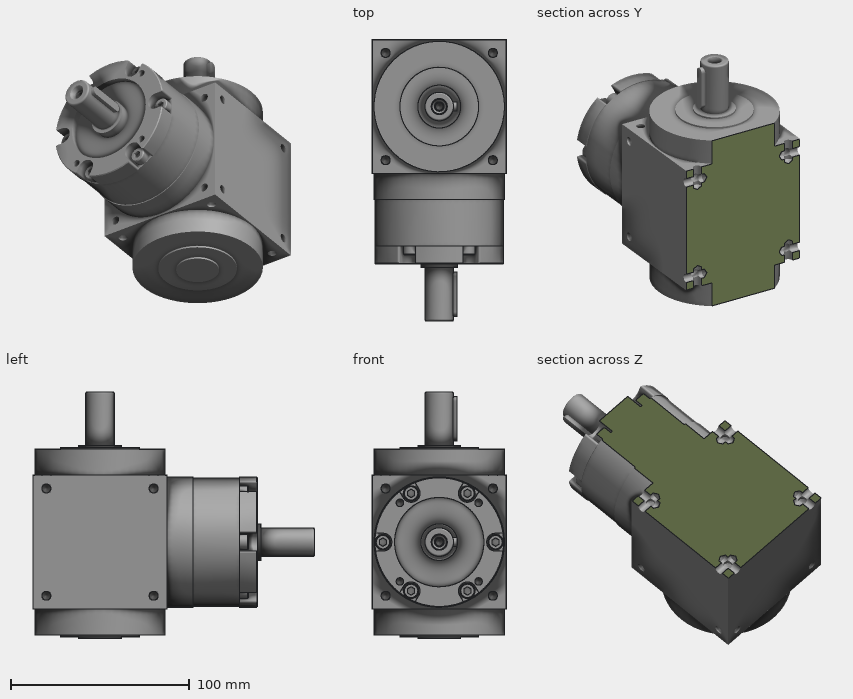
import cadquery as cq
import math

HOUSING_SIDE = 75.0
HOUSING_HALF = HOUSING_SIDE / 2
HOUSING_HOLE_OFFSET = 30.0
HOUSING_HOLE_DIA = 5.0
HOUSING_HOLE_DEPTH = 12.0

HUB_DIA = 73.0
HUB_LENGTH = 14.5
HUB_END = HOUSING_HALF + HUB_LENGTH
SEAL_DIA = 44.0
SEAL_HEIGHT = 1.0
SEAL_END = HUB_END + SEAL_HEIGHT
HUB_COLLAR_DIA = 24.0
HUB_COLLAR_HEIGHT = 1.0
HUB_COLLAR_END = SEAL_END + HUB_COLLAR_HEIGHT

SHAFT_DIA = 16.0
SHAFT_LENGTH = 30.0
SHAFT_END_RADIUS = 1.0
KEY_WIDTH = 5.0
KEY_LENGTH = 25.0
KEY_TOP = 10.0
KEY_END_GAP = (SHAFT_LENGTH - KEY_LENGTH) / 2
CENTRE_MOUTH_DIA = 9.0
CENTRE_CONE_DIA = 8.1
CENTRE_RELIEF_DIA = 5.3
CENTRE_RELIEF_DEPTH = 4.0
CENTRE_CORE_DIA = 4.2
CENTRE_CORE_DEPTH = 17.0
CENTRE_MOUTH_ANGLE = 120.0
CENTRE_CONE_ANGLE = 60.0

STAGE_RING_END = HUB_END
STAGE_BODY_DIA = 72.0
STAGE_BODY_LENGTH = 26.0
STAGE_BODY_END = STAGE_RING_END + STAGE_BODY_LENGTH
FLANGE_DIA = HUB_DIA
FLANGE_THICKNESS = 10.0
FLANGE_END = STAGE_BODY_END + FLANGE_THICKNESS
FLANGE_CHAMFER = 0.5
RECESS_DIA = 50.0
RECESS_DEPTH = 4.0
STAGE_COLLAR_DIA = 20.5
STAGE_COLLAR_HEIGHT = 2.0
STAGE_COLLAR_END = FLANGE_END + STAGE_COLLAR_HEIGHT
FLANGE_HOLE_OFFSET = 22.0
FLANGE_HOLE_DIA = 4.2
FLANGE_HOLE_DEPTH = 10.0

SCREW_COUNT = 6
SCREW_CIRCLE_RADIUS = 31.5
SCREW_HEAD_DIA = 8.5
SCREW_HEAD_HEIGHT = 5.0
SCREW_HEAD_CHAMFER = 0.5
SOCKET_FLATS = 4.0
SOCKET_DEPTH = 2.5
SLOT_WIDTH = 10.0
SLOT_CORNER_RADIUS = 1.0

DRILL_POINT_ANGLE = 118.0


def disc(diameter, start, end):
    """Cylinder on the Z axis between two heights."""
    return cq.Workplane("XY").workplane(offset=start).circle(diameter / 2).extrude(end - start)


def cone_height(wide_diameter, narrow_diameter, angle):
    """Height over which a cone of the given full angle narrows between two diameters."""
    return (wide_diameter - narrow_diameter) / 2 / math.tan(math.radians(angle / 2))


def drilled_hole(x, y, mouth, diameter, depth):
    """Cutter for a blind hole going down from the mouth, with a conical bottom."""
    radius = diameter / 2
    point = cone_height(diameter, 0, DRILL_POINT_ANGLE)
    profile = [(0, 0), (radius, 0), (radius, -depth), (0, -depth - point)]
    cutter = cq.Workplane("XZ").polyline(profile).close().revolve(360, (0, 0), (0, 1))
    return cutter.translate((x, y, mouth))


def square_of_holes(offset, mouth, diameter, depth):
    """Cutter for four drilled holes at the corners of a square."""
    cutter = cq.Workplane("XY")
    for x in (-offset, offset):
        for y in (-offset, offset):
            cutter = cutter.add(drilled_hole(x, y, mouth, diameter, depth))
    return cutter.combine()


def face_front(shape):
    """Turn a shape that points along +Z so that it points along -Y."""
    return shape.rotate((0, 0, 0), (1, 0, 0), 90)


def centre_hole(mouth):
    """Cutter for the stepped and countersunk centre hole of a shaft end."""
    cone_start = cone_height(CENTRE_MOUTH_DIA, CENTRE_CONE_DIA, CENTRE_MOUTH_ANGLE)
    cone_end = cone_start + cone_height(CENTRE_CONE_DIA, CENTRE_RELIEF_DIA, CENTRE_CONE_ANGLE)
    profile = [
        (0, 0),
        (CENTRE_MOUTH_DIA / 2, 0),
        (CENTRE_CONE_DIA / 2, -cone_start),
        (CENTRE_RELIEF_DIA / 2, -cone_end),
        (CENTRE_RELIEF_DIA / 2, -CENTRE_RELIEF_DEPTH),
        (0, -CENTRE_RELIEF_DEPTH),
    ]
    entry = cq.Workplane("XZ").polyline(profile).close().revolve(360, (0, 0), (0, 1))
    core = drilled_hole(0, 0, mouth, CENTRE_CORE_DIA, CENTRE_CORE_DEPTH)
    return entry.translate((0, 0, mouth)).union(core)


def keyed_shaft(root, base):
    """Shaft sunk to the root height, standing SHAFT_LENGTH above the base."""
    end = base + SHAFT_LENGTH
    shaft = disc(SHAFT_DIA, root, end).faces(">Z").edges().fillet(SHAFT_END_RADIUS)
    key = (
        cq.Workplane("YZ")
        .center(0, base + KEY_END_GAP + KEY_LENGTH / 2)
        .slot2D(KEY_LENGTH, KEY_WIDTH, 90)
        .extrude(KEY_TOP)
    )
    return shaft.union(key).cut(centre_hole(end))


def hub():
    """Stepped round hub on one end of the housing."""
    return (
        disc(HUB_DIA, 0, HUB_END)
        .union(disc(SEAL_DIA, 0, SEAL_END))
        .union(disc(HUB_COLLAR_DIA, 0, HUB_COLLAR_END))
    )


def housing():
    """Cube with four drilled holes in every face."""
    block = cq.Workplane("XY").box(HOUSING_SIDE, HOUSING_SIDE, HOUSING_SIDE)
    holes = square_of_holes(HOUSING_HOLE_OFFSET, HOUSING_HALF, HOUSING_HOLE_DIA, HOUSING_HOLE_DEPTH)
    for quarter in range(4):
        block = block.cut(holes.rotate((0, 0, 0), (1, 0, 0), 90 * quarter))
    for tilt in (-90, 90):
        block = block.cut(holes.rotate((0, 0, 0), (0, 1, 0), tilt))
    return block


def screw_slot():
    """Cutter for one screw slot, open towards +X."""
    reach = FLANGE_DIA / 2
    straight = cq.Workplane("XY").box(reach, SLOT_WIDTH, FLANGE_THICKNESS, centered=(False, True, False))
    end = cq.Workplane("XY").circle(SLOT_WIDTH / 2).extrude(FLANGE_THICKNESS)
    return straight.union(end).translate((SCREW_CIRCLE_RADIUS, 0, STAGE_BODY_END))


def screw_head():
    """Head of one socket screw, seated on the stage body."""
    top = STAGE_BODY_END + SCREW_HEAD_HEIGHT
    head = disc(SCREW_HEAD_DIA, STAGE_BODY_END, top).faces(">Z").chamfer(SCREW_HEAD_CHAMFER)
    socket = (
        cq.Workplane("XY")
        .workplane(offset=top - SOCKET_DEPTH)
        .polygon(6, SOCKET_FLATS, circumscribed=True)
        .extrude(SOCKET_DEPTH)
    )
    return head.cut(socket).translate((SCREW_CIRCLE_RADIUS, 0, 0))


def around_flange(shape):
    """Copies of a shape at every screw position."""
    copies = cq.Workplane("XY")
    for index in range(SCREW_COUNT):
        copies = copies.add(shape.rotate((0, 0, 0), (0, 0, 1), index * 360 / SCREW_COUNT))
    return copies.combine()


def flange():
    """Slotted end flange with a shallow recess in its face."""
    rim_angle = math.asin(SLOT_WIDTH / FLANGE_DIA)
    rim_distance = FLANGE_DIA / 2 * math.cos(rim_angle)
    plate = disc(FLANGE_DIA, STAGE_BODY_END, FLANGE_END).cut(around_flange(screw_slot()))
    rim_edges = plate.edges("|Z").filter(
        lambda edge: math.hypot(edge.Center().x, edge.Center().y) > rim_distance
    )
    plate = rim_edges.fillet(SLOT_CORNER_RADIUS)
    bevel = disc(FLANGE_DIA, STAGE_BODY_END, FLANGE_END).faces(">Z").chamfer(FLANGE_CHAMFER)
    recess = disc(RECESS_DIA, FLANGE_END - RECESS_DEPTH, FLANGE_END)
    return plate.intersect(bevel).cut(recess)


def planetary_stage():
    """Complete stage with ring, body, flange, screws, collar and shaft."""
    stage = (
        disc(HUB_DIA, 0, STAGE_RING_END)
        .union(disc(STAGE_BODY_DIA, 0, STAGE_BODY_END))
        .union(flange())
        .union(around_flange(screw_head()))
        .union(disc(STAGE_COLLAR_DIA, STAGE_BODY_END, STAGE_COLLAR_END))
        .union(keyed_shaft(STAGE_BODY_END, STAGE_COLLAR_END))
    )
    holes = square_of_holes(FLANGE_HOLE_OFFSET, FLANGE_END, FLANGE_HOLE_DIA, FLANGE_HOLE_DEPTH)
    return stage.cut(holes)


def outside_housing(shape):
    """Part of a +Z pointing shape that lies beyond the housing face."""
    inside = cq.Workplane("XY").box(HOUSING_SIDE, HOUSING_SIDE, HOUSING_SIDE)
    return shape.cut(inside)


upper_hub = outside_housing(hub().union(keyed_shaft(0, HUB_COLLAR_END)))
lower_hub = outside_housing(hub()).rotate((0, 0, 0), (1, 0, 0), 180)
front_stage = face_front(outside_housing(planetary_stage()))

result = housing().union(upper_hub).union(lower_hub).union(front_stage)